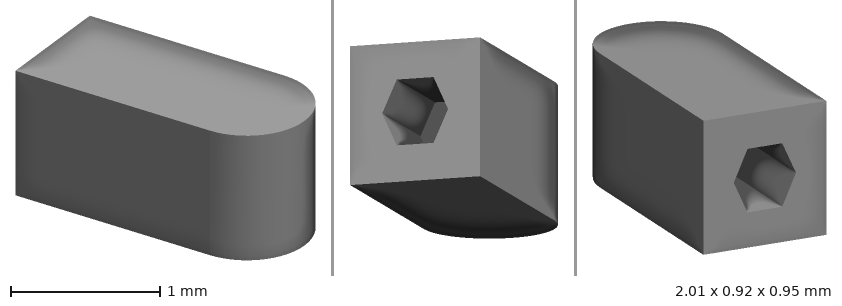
import cadquery as cq

width = 0.92
height = 0.95
end_radius = width / 2
straight_length = 1.55

socket_corner_width = 0.466
socket_flat_width = 0.26
socket_height = 0.45
socket_depth = 0.8


def make_body():
    """Bar with a flat end at X = 0 and a full-round end on +X."""
    return (
        cq.Workplane("XY")
        .moveTo(0, -end_radius)
        .lineTo(straight_length, -end_radius)
        .threePointArc((straight_length + end_radius, 0), (straight_length, end_radius))
        .lineTo(0, end_radius)
        .close()
        .extrude(height)
        .translate((0, 0, -height / 2))
    )


def make_socket():
    """Six-sided socket, with level top and bottom flats and corners on +Y and -Y."""
    half_corner = socket_corner_width / 2
    half_flat = socket_flat_width / 2
    half_height = socket_height / 2
    outline = [
        (half_corner, 0),
        (half_flat, half_height),
        (-half_flat, half_height),
        (-half_corner, 0),
        (-half_flat, -half_height),
        (half_flat, -half_height),
    ]
    return cq.Workplane("YZ").polyline(outline).close().extrude(socket_depth)


result = make_body().cut(make_socket())